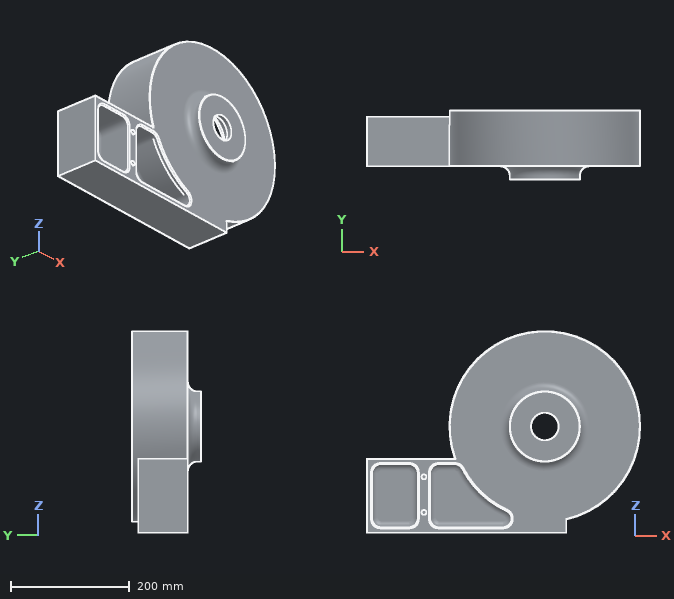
import cadquery as cq
import math

housing_radius = 161.0
housing_width = 94.5
housing_x = 300.5
housing_z = 179.5

foot_length = 337.0
foot_height = 125.0
foot_width = 84.0

boss_radius = 59.5
boss_height = 22.0
boss_root_fillet = 15.2

edge_break = 1.0

cavity_radius = 155.0
front_wall = 11.0
boss_plate = 9.5
boss_recess_radius = 43.5
bore_radius = 23.0

rim_width = 7.0
lower_rim_width = 7.5
pocket_depth = 71.0
pocket_rim_chamfer = 2.5
pocket_corner = 16.5
pocket_floor_fillet = 10.0
outer_pocket_length = 81.2
rib_width = 16.5
pocket_arc_radius = 154.0

screw_hole_radius = 4.0
screw_hole_depth = 27.5
screw_hole_spacing = 60.0
screw_hole_z = 64.5


def front_plane(y=0.0):
    """Workplane at depth y, with local x and y along X and Z and the normal along -Y."""
    return cq.Workplane("XZ", origin=(0, y, 0))


def housing_disc(radius, y_start, y_end):
    """Cylinder on the housing axis."""
    disc = front_plane(y_end).center(housing_x, housing_z).circle(radius)
    return disc.extrude(y_end - y_start)


def make_boss():
    """Boss with a concave root that ends tangent to the front face."""
    root_radius = boss_radius + boss_root_fillet
    fillet_middle = boss_root_fillet * (1 - math.sqrt(0.5))
    profile = (
        cq.Workplane("XY")
        .moveTo(0, 0)
        .lineTo(root_radius, 0)
        .threePointArc(
            (boss_radius + fillet_middle, -fillet_middle),
            (boss_radius, -boss_root_fillet),
        )
        .lineTo(boss_radius, edge_break - boss_height)
        .lineTo(boss_radius - edge_break, -boss_height)
        .lineTo(0, -boss_height)
        .close()
    )
    boss = profile.revolve(360, (0, 0, 0), (0, 1, 0))
    return boss.translate((housing_x, 0, housing_z))


def sink_pocket(outline):
    """Straight-walled pocket body with a chamfered rim and a rounded floor."""
    rim = outline.extrude(-pocket_rim_chamfer, taper=45)
    wall_depth = pocket_depth - pocket_rim_chamfer
    walls = rim.faces(">Y").wires().toPending().extrude(-wall_depth, combine=False)
    walls = walls.faces(">Y").edges().fillet(pocket_floor_fillet)
    return rim.union(walls)


def outer_pocket():
    """Rectangular pocket with rounded corners at the free end of the foot."""
    straight_length = outer_pocket_length - 2 * pocket_corner
    straight_height = foot_height - rim_width - lower_rim_width - 2 * pocket_corner
    outline = (
        front_plane()
        .center(rim_width + pocket_corner, lower_rim_width + pocket_corner)
        .rect(straight_length, straight_height, centered=False)
        .offset2D(pocket_corner)
    )
    return sink_pocket(outline)


def inner_pocket():
    """Pocket whose right side follows the housing; both ends of that arc blend tangentially."""
    left = rim_width + outer_pocket_length + rib_width
    bottom = lower_rim_width
    top = foot_height - rim_width
    corner = pocket_corner
    reach = pocket_arc_radius + corner

    def blend_center(z):
        """Centre, at height z, of a corner that touches the housing arc from outside."""
        return housing_x - math.sqrt(reach**2 - (housing_z - z) ** 2), z

    def on_circle(center, radius, angle):
        return center[0] + radius * math.cos(angle), center[1] + radius * math.sin(angle)

    axis = (housing_x, housing_z)
    upper = blend_center(top - corner)
    lower = blend_center(bottom + corner)
    upper_angle = math.atan2(housing_z - upper[1], housing_x - upper[0])
    lower_angle = math.atan2(housing_z - lower[1], housing_x - lower[0])
    middle_angle = math.pi + (upper_angle + lower_angle) / 2
    diagonal = math.radians(45)

    outline = (
        front_plane()
        .moveTo(left + corner, top)
        .lineTo(upper[0], top)
        .threePointArc(
            on_circle(upper, corner, (math.pi / 2 + upper_angle) / 2),
            on_circle(upper, corner, upper_angle),
        )
        .threePointArc(
            on_circle(axis, pocket_arc_radius, middle_angle),
            on_circle(lower, corner, lower_angle),
        )
        .threePointArc(
            on_circle(lower, corner, (lower_angle - math.pi / 2) / 2),
            (lower[0], bottom),
        )
        .lineTo(left + corner, bottom)
        .threePointArc(
            on_circle((left + corner, bottom + corner), corner, math.pi + diagonal),
            (left, bottom + corner),
        )
        .lineTo(left, top - corner)
        .threePointArc(
            on_circle((left + corner, top - corner), corner, math.pi - diagonal),
            (left + corner, top),
        )
        .close()
    )
    return sink_pocket(outline)


def screw_holes():
    """Pair of blind holes on the middle of the rib."""
    rib_middle = rim_width + outer_pocket_length + rib_width / 2
    offset = screw_hole_spacing / 2
    holes = front_plane().pushPoints(
        [(rib_middle, screw_hole_z - offset), (rib_middle, screw_hole_z + offset)]
    )
    return holes.circle(screw_hole_radius).extrude(-screw_hole_depth)


housing = housing_disc(housing_radius, 0, housing_width).edges().chamfer(edge_break)
foot = cq.Workplane("XY").box(foot_length, foot_width, foot_height, centered=False)
outer_shape = housing.union(foot).union(make_boss())

boss_floor_y = boss_plate - boss_height
cavity = housing_disc(cavity_radius, front_wall, housing_width)
boss_recess = housing_disc(boss_recess_radius, boss_floor_y, front_wall)
bore = housing_disc(bore_radius, -boss_height, boss_floor_y)
hollow_body = outer_shape.cut(cavity).cut(boss_recess).cut(bore)

result = hollow_body.cut(outer_pocket()).cut(inner_pocket()).cut(screw_holes())